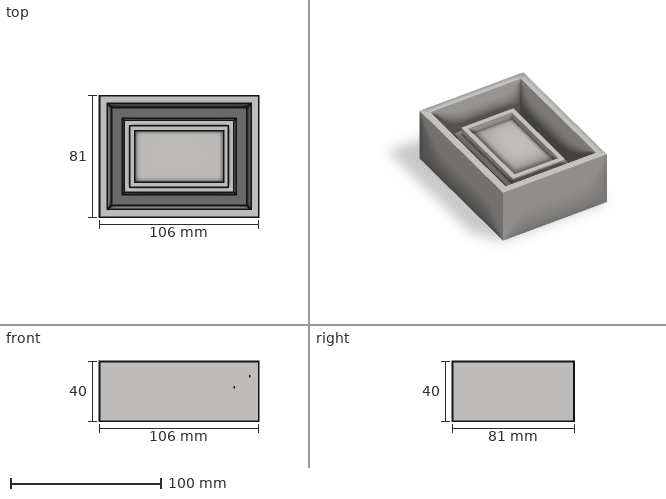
import cadquery as cq
import math

length = 106.0
width = 81.0
height = 40.0

rim_wall = 5.2
tray_depth = 32.9
draft_angle = 5

plinth_length = 76.0
plinth_width = 51.0
plinth_height = 17.9
frame_length = 65.6
frame_width = 40.7
frame_wall = 3.3
frame_height = 5.8

draft_slope = math.tan(math.radians(draft_angle))
floor_z = height - tray_depth
plinth_top_z = floor_z + plinth_height


def box(size_x, size_y, size_z, base_z):
    """Upright box centred in X and Y with its underside at base_z."""
    return cq.Workplane("XY", origin=(0, 0, base_z)).rect(size_x, size_y).extrude(size_z)


def frustum(bottom_x, bottom_y, size_z, base_z, growth):
    """Rectangular frustum whose top is wider than its bottom by growth in X and Y."""
    return (
        cq.Workplane("XY", origin=(0, 0, base_z))
        .rect(bottom_x, bottom_y)
        .workplane(offset=size_z)
        .rect(bottom_x + growth, bottom_y + growth)
        .loft(ruled=True)
    )


tray_growth = 2 * draft_slope * tray_depth
tray_floor_length = length - 2 * rim_wall - tray_growth
tray_floor_width = width - 2 * rim_wall - tray_growth
tray = frustum(tray_floor_length, tray_floor_width, tray_depth, floor_z, tray_growth)
body = box(length, width, height, 0).cut(tray)

plinth_growth = -2 * draft_slope * plinth_height
plinth = frustum(plinth_length, plinth_width, plinth_height, floor_z, plinth_growth)

pocket_length = frame_length - 2 * frame_wall
pocket_width = frame_width - 2 * frame_wall
frame = box(frame_length, frame_width, frame_height, plinth_top_z).cut(
    box(pocket_length, pocket_width, frame_height, plinth_top_z)
)

result = body.union(plinth).union(frame)